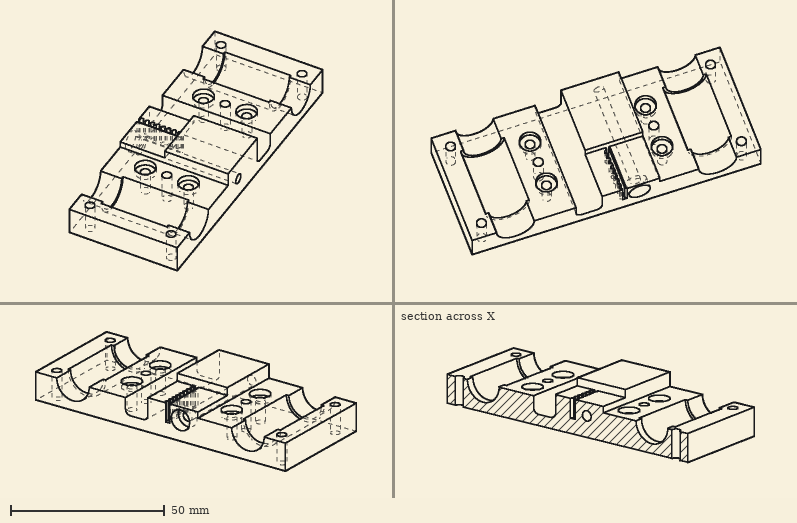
import cadquery as cq

plate_width = 40.0
plate_length = 100.0
plate_height = 10.0

seat_y = 35.0
shaft_groove_diameter = 13.0
bearing_diameter = 15.0
bearing_length = 24.4

channel_back_y = 14.0
channel_floor_z = 4.0
channel_fillet = 2.0

block_front_y = -15.0
block_back_y = 5.0
block_height = 15.0
step_height = 12.2
step_x = -3.5

slot_back_y = -2.2
slot_front_y = -3.1
slot_floor_z = 5.4
top_lead_in_width = 0.4
top_lead_in_height = 0.6
side_lead_in = 0.55
tooth_pitch = 2.0
tooth_width = 1.2
tooth_depth = 0.9
tooth_count = 8
first_tooth_offset = 1.0

tension_y = -8.0
tension_z = 7.5
tension_hole_diameter = 3.4
tension_head_diameter = 7.3
tension_head_depth = 4.0

corner_x = 15.0
corner_y = 45.0
screw_row_y = 20.0
screw_row_x = 8.0
screw_hole_diameter = 3.2
counterbore_diameter = 7.0
counterbore_depth = 2.0

left_x = -plate_width / 2


def box_between(x0, x1, y0, y1, z0, z1):
    """Box spanning the given corner coordinates."""
    return cq.Workplane("XY").box(x1 - x0, y1 - y0, z1 - z0, centered=False).translate((x0, y0, z0))


def rod_along_x(diameter, x0, length, y, z):
    """Cylinder along +X that starts at x0."""
    return cq.Workplane("YZ", origin=(x0, y, z)).circle(diameter / 2).extrude(length)


def plate_with_block():
    plate = box_between(left_x, -left_x, -plate_length / 2, plate_length / 2, 0, plate_height)
    block = box_between(left_x, -left_x, block_front_y, block_back_y, 0, block_height)
    step = box_between(left_x, step_x, block_front_y, block_back_y, step_height, block_height)
    return plate.union(block).cut(step)


def bearing_seat(y):
    groove = rod_along_x(shaft_groove_diameter, left_x, plate_width, y, plate_height)
    pocket = rod_along_x(bearing_diameter, -bearing_length / 2, bearing_length, y, plate_height)
    return groove.union(pocket)


def belt_channel():
    channel = box_between(left_x, -left_x, block_back_y, channel_back_y, channel_floor_z, plate_height)
    return channel.edges("|X and <Z").fillet(channel_fillet)


def belt_slot():
    """Belt slot with rounded tooth gaps on its back wall and chamfered lead-ins on its front wall."""
    slot = box_between(left_x, step_x, slot_front_y, slot_back_y, slot_floor_z, step_height)
    slot_depth = step_height - slot_floor_z
    tooth_radius = tooth_width / 2
    arc_centre_y = slot_back_y + tooth_depth - tooth_radius
    for index in range(tooth_count):
        x = left_x + first_tooth_offset + index * tooth_pitch
        gap = (
            cq.Workplane("XY", origin=(0, 0, slot_floor_z))
            .moveTo(x - tooth_radius, slot_front_y)
            .lineTo(x - tooth_radius, arc_centre_y)
            .threePointArc((x, arc_centre_y + tooth_radius), (x + tooth_radius, arc_centre_y))
            .lineTo(x + tooth_radius, slot_front_y)
            .close()
            .extrude(slot_depth)
        )
        slot = slot.union(gap)
    top_bevel = (
        cq.Workplane("YZ", origin=(left_x, slot_front_y, step_height))
        .polyline([(0, 0), (-top_lead_in_width, 0), (0, -top_lead_in_height)])
        .close()
        .extrude(step_x - left_x)
    )
    side_bevel = (
        cq.Workplane("XY", origin=(left_x, slot_front_y, slot_floor_z))
        .polyline([(0, 0), (0, -side_lead_in), (side_lead_in, 0)])
        .close()
        .extrude(slot_depth)
    )
    return slot.union(top_bevel).union(side_bevel)


def tension_bore():
    hole = rod_along_x(tension_hole_diameter, left_x, plate_width, tension_y, tension_z)
    head = rod_along_x(tension_head_diameter, left_x, tension_head_depth, tension_y, tension_z)
    return hole.union(head)


def drill_screw_holes(body):
    corner_points = [(x, y) for x in (-corner_x, corner_x) for y in (-corner_y, corner_y)]
    middle_points = [(0, -screw_row_y), (0, screw_row_y)]
    counterbored_points = [
        (x, y) for x in (-screw_row_x, screw_row_x) for y in (-screw_row_y, screw_row_y)
    ]
    all_points = corner_points + middle_points + counterbored_points
    plate_top = cq.Workplane("XY", origin=(0, 0, plate_height))
    holes = plate_top.pushPoints(all_points).circle(screw_hole_diameter / 2).extrude(-plate_height)
    heads = plate_top.pushPoints(counterbored_points).circle(counterbore_diameter / 2)
    return body.cut(holes).cut(heads.extrude(-counterbore_depth))


body = plate_with_block()
for seat_side in (-1, 1):
    body = body.cut(bearing_seat(seat_side * seat_y))
body = body.cut(belt_channel())
body = body.cut(belt_slot())
body = body.cut(tension_bore())
result = drill_screw_holes(body)